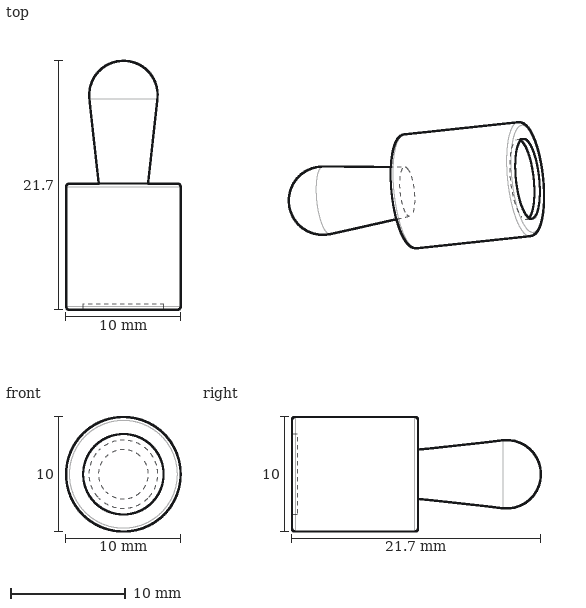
import cadquery as cq
import math

total_length = 21.7
body_diameter = 10.0
body_length = 11.0
body_edge_radius = 0.3
ball_diameter = 6.0
neck_diameter = 4.32
recess_diameter = 7.0
recess_depth = 0.5

body_front = -body_length / 2
body_back = body_length / 2
tip = body_front + total_length
ball_radius = ball_diameter / 2
neck_radius = neck_diameter / 2
ball_center = tip - ball_radius

center_to_neck = ball_center - body_back
neck_to_center = math.hypot(neck_radius, center_to_neck)
taper_angle = math.asin(ball_radius / neck_to_center) - math.atan2(neck_radius, center_to_neck)
tangent_radius = ball_radius * math.cos(taper_angle)
tangent_y = ball_center - ball_radius * math.sin(taper_angle)


def make_body():
    """Cylinder with both rims rounded."""
    body = cq.Workplane("XZ", origin=(0, body_back, 0)).circle(body_diameter / 2).extrude(body_length)
    return body.edges().fillet(body_edge_radius)


def make_pin():
    """Tapered pin with a ball end, starting at the back face of the body."""
    arc_middle = math.radians(45)
    profile = (
        cq.Workplane("XY")
        .moveTo(0, body_back)
        .lineTo(neck_radius, body_back)
        .lineTo(tangent_radius, tangent_y)
        .threePointArc(
            (ball_radius * math.cos(arc_middle), ball_center + ball_radius * math.sin(arc_middle)),
            (0, tip),
        )
        .close()
    )
    return profile.revolve(360, (0, 0, 0), (0, 1, 0))


def make_recess():
    """Shallow round pocket in the front face of the body."""
    return (
        cq.Workplane("XZ", origin=(0, body_front + recess_depth, 0))
        .circle(recess_diameter / 2)
        .extrude(recess_depth)
    )


result = make_body().union(make_pin()).cut(make_recess())